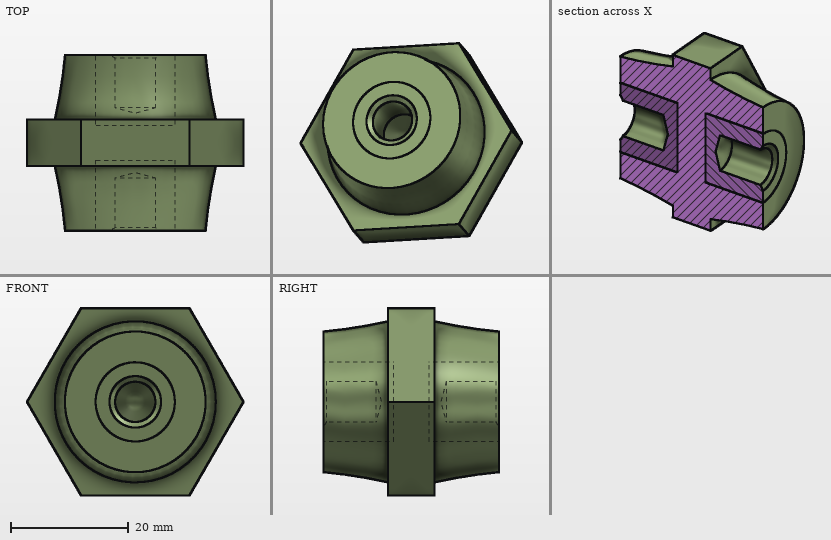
import cadquery as cq
import math

corner_width = 36.95
length = 30.0
flange_thickness = 7.98

end_radius = 12.0
root_radius = 13.75
flare_bow = 0.2

insert_radius = 6.75
insert_length = 12.0
bore_radius = 3.45
mouth_radius = 4.4
mouth_angle = 120.0
bore_depth = 9.0
tip_angle = 150.0

half_length = length / 2
half_flange = flange_thickness / 2
mouth_depth = (mouth_radius - bore_radius) / math.tan(math.radians(mouth_angle / 2))
tip_depth = bore_radius / math.tan(math.radians(tip_angle / 2))

SIDES = (-1, 1)
AXIS_START = (0, 0, 0)
AXIS_END = (0, 1, 0)


def revolve_about_axis(profile):
    """Turn a closed profile, drawn as (radius, Y), once around the Y axis."""
    return profile.close().revolve(360, AXIS_START, AXIS_END)


def make_flange():
    """Hexagonal flange with corners on +X and -X."""
    return (
        cq.Workplane("XZ")
        .polygon(6, corner_width)
        .extrude(half_flange, both=True)
    )


def make_barrel(side):
    """Barrel with a concave flare, from the part's middle to the end face at side * half_length."""
    mid_radius = (end_radius + root_radius) / 2 - flare_bow
    mid_y = (half_length + half_flange) / 2
    return revolve_about_axis(
        cq.Workplane("XY")
        .lineTo(root_radius, 0)
        .lineTo(root_radius, side * half_flange)
        .threePointArc((mid_radius, side * mid_y), (end_radius, side * half_length))
        .lineTo(0, side * half_length)
    )


def make_pocket(side):
    """Solid cylinder filling the space that an insert takes up in the housing."""
    inner_y = side * (half_length - insert_length)
    end_y = side * half_length
    return revolve_about_axis(
        cq.Workplane("XY")
        .moveTo(0, inner_y)
        .lineTo(insert_radius, inner_y)
        .lineTo(insert_radius, end_y)
        .lineTo(0, end_y)
    )


def make_bore(side):
    """Blind hole with a chamfered mouth and a conical bottom."""
    return revolve_about_axis(
        cq.Workplane("XY")
        .moveTo(0, side * half_length)
        .lineTo(mouth_radius, side * half_length)
        .lineTo(bore_radius, side * (half_length - mouth_depth))
        .lineTo(bore_radius, side * (half_length - bore_depth))
        .lineTo(0, side * (half_length - bore_depth - tip_depth))
    )


def make_insert(side):
    """Round insert, flush with the end face, with a blind bore."""
    return make_pocket(side).cut(make_bore(side))


def make_housing():
    """Flange and two barrels in one piece, with a pocket for each insert."""
    housing = make_flange()
    for side in SIDES:
        housing = housing.union(make_barrel(side))
    for side in SIDES:
        housing = housing.cut(make_pocket(side))
    return housing


housing = make_housing()
inserts = [make_insert(side) for side in SIDES]

result = cq.Compound.makeCompound([housing.val(), *[insert.val() for insert in inserts]])